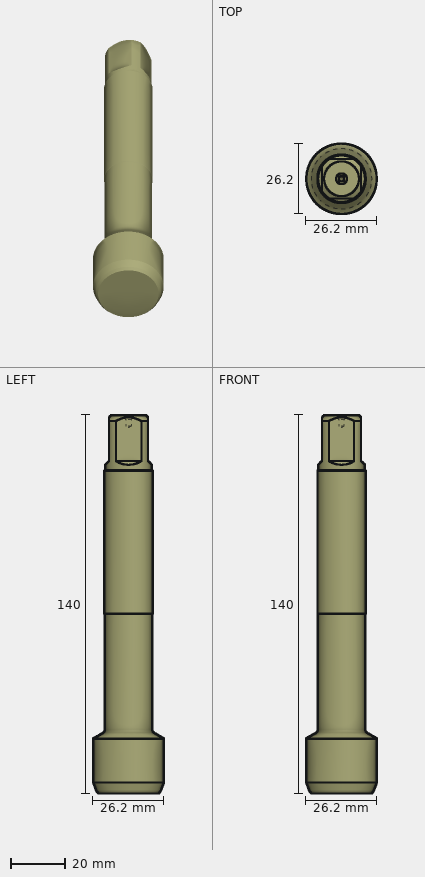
import cadquery as cq
import math

total_length = 140.0
lead_top = 4.0
cutting_length = 20.1
collar_height = 0.3
shank_bottom = 66.5
shank_top = 119.7

cutting_diameter = 26.16
neck_diameter = 17.7
shank_diameter = 18.0
drive_diameter = 17.28

tip_diameter = 22.4
tip_chamfer_height = 1.1
lead_small_diameter = 24.0

shoulder_slope = 30.0
neck_fillet_radius = 1.3
shank_chamfer_width = (shank_diameter - neck_diameter) / 2
drive_step_chamfer_width = (shank_diameter - drive_diameter) / 2

square_size = 14.5
square_length = 17.0
end_chamfer = 2.2

centre_hole_diameter = 2.0
countersink_diameter = 4.0
centre_hole_depth = 4.0
countersink_angle = 60.0
drill_point_angle = 118.0


def make_cutting_head():
    """Threading section with a tapered lead and a chamfered tip."""
    cutting_radius = cutting_diameter / 2
    return (
        cq.Workplane("XZ")
        .lineTo(tip_diameter / 2, 0)
        .lineTo(lead_small_diameter / 2, tip_chamfer_height)
        .lineTo(cutting_radius, lead_top)
        .lineTo(cutting_radius, cutting_length)
        .lineTo(0, cutting_length)
        .close()
        .revolve(360, (0, 0, 0), (0, 1, 0))
    )


def make_shank_blank():
    """Turned shank: collar, conical shoulder, neck, clamping cylinder and drive end."""
    collar_radius = cutting_diameter / 2
    neck_radius = neck_diameter / 2
    shank_radius = shank_diameter / 2
    drive_radius = drive_diameter / 2
    collar_top = cutting_length + collar_height
    slope = math.radians(shoulder_slope)
    shoulder_small_radius = neck_radius + neck_fillet_radius * (1 - math.sin(slope))
    shoulder_top = collar_top + (collar_radius - shoulder_small_radius) * math.tan(slope)
    neck_bottom = shoulder_top + neck_fillet_radius * math.cos(slope)
    return (
        cq.Workplane("XZ")
        .moveTo(0, cutting_length)
        .lineTo(collar_radius, cutting_length)
        .lineTo(collar_radius, collar_top)
        .lineTo(shoulder_small_radius, shoulder_top)
        .tangentArcPoint((neck_radius, neck_bottom), relative=False)
        .lineTo(neck_radius, shank_bottom)
        .lineTo(shank_radius, shank_bottom + shank_chamfer_width)
        .lineTo(shank_radius, shank_top - drive_step_chamfer_width)
        .lineTo(drive_radius, shank_top)
        .lineTo(drive_radius, total_length - end_chamfer)
        .lineTo(drive_radius - end_chamfer, total_length)
        .lineTo(0, total_length)
        .close()
        .revolve(360, (0, 0, 0), (0, 1, 0))
    )


def make_flat_cutter():
    """Cutter for one flat on the +X side, running out at 45 degrees."""
    flat_offset = square_size / 2
    flat_bottom = total_length - square_length
    runout = shank_diameter / 2 - flat_offset
    return (
        cq.Workplane("XZ")
        .moveTo(flat_offset, total_length)
        .lineTo(flat_offset, flat_bottom)
        .lineTo(flat_offset + runout, flat_bottom - runout)
        .lineTo(flat_offset + runout, total_length)
        .close()
        .extrude(shank_diameter / 2, both=True)
    )


def make_centre_hole():
    """Countersunk centre drilling with a conical bottom."""
    hole_radius = centre_hole_diameter / 2
    mouth_radius = countersink_diameter / 2
    sink_depth = (mouth_radius - hole_radius) / math.tan(math.radians(countersink_angle / 2))
    point_length = hole_radius / math.tan(math.radians(drill_point_angle / 2))
    hole_bottom = total_length - centre_hole_depth
    return (
        cq.Workplane("XZ")
        .moveTo(0, total_length)
        .lineTo(mouth_radius, total_length)
        .lineTo(hole_radius, total_length - sink_depth)
        .lineTo(hole_radius, hole_bottom)
        .lineTo(0, hole_bottom - point_length)
        .close()
        .revolve(360, (0, 0, 0), (0, 1, 0))
    )


def make_shank():
    """Shank with four driving flats and a centre hole."""
    shank = make_shank_blank()
    flat_cutter = make_flat_cutter()
    for side in range(4):
        shank = shank.cut(flat_cutter.rotate((0, 0, 0), (0, 0, 1), 90 * side))
    return shank.cut(make_centre_hole())


cutting_head = make_cutting_head()
shank = make_shank()

result = cq.Compound.makeCompound([cutting_head.val(), shank.val()])